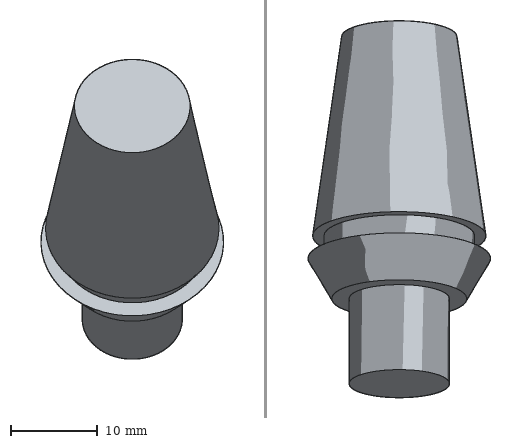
import cadquery as cq

total_height = 41.7

shank_top = 10.2
collar_top = 15.05
neck_top = 17.75

shank_diameter = 11.6
collar_bottom_diameter = 15.6
collar_top_diameter = 21.1
neck_diameter = 17.4
taper_bottom_diameter = 20.0
taper_top_diameter = 13.35


def round_section(bottom, top, bottom_diameter, top_diameter):
    """Solid of revolution about Z, straight or conical, between two heights."""
    profile = [
        (0, bottom),
        (bottom_diameter / 2, bottom),
        (top_diameter / 2, top),
        (0, top),
    ]
    return cq.Workplane("XZ").polyline(profile).close().revolve(360, (0, 0), (0, 1))


shank = round_section(0, shank_top, shank_diameter, shank_diameter)
collar = round_section(shank_top, collar_top, collar_bottom_diameter, collar_top_diameter)
neck = round_section(collar_top, neck_top, neck_diameter, neck_diameter)
taper = round_section(neck_top, total_height, taper_bottom_diameter, taper_top_diameter)

result = shank.union(collar).union(neck).union(taper)